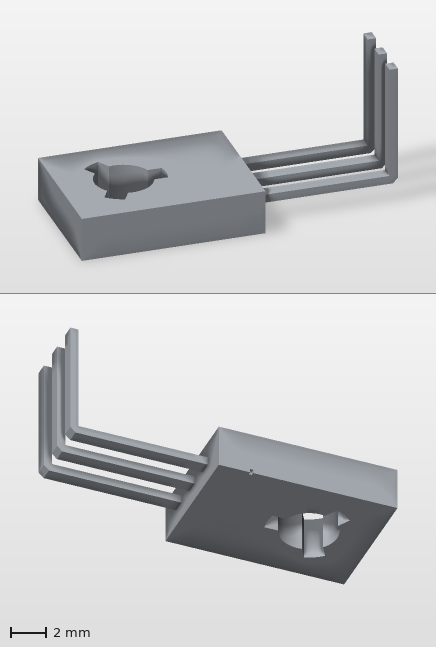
import cadquery as cq

overall_length = 19.5
overall_height = 8.4
body_width = 8.0
body_length = 11.02
body_height = 2.7

lead_count = 3
lead_pitch = 1.99
lead_width = 0.8
lead_thickness = 0.5
lead_bottom = 1.1
bend_chamfer = 0.31

hole_from_front = 3.82
hole_radius = 1.75
key_count = 3
key_tip_radius = 2.55
key_width = 1.2

notch_width = 0.2
notch_height = 0.23
notch_depth = 0.2
notch_from_rear = 2.03


def make_body():
    return cq.Workplane("XY").box(body_width, body_length, body_height, centered=(True, False, False))


def make_hole_cutter():
    """Round hole with equally spaced radial keyways ending on a common circle."""
    keyways = cq.Workplane("XY")
    for index in range(key_count):
        keyway = (
            cq.Workplane("XY")
            .box(key_width, key_tip_radius, body_height, centered=(True, False, False))
            .rotate((0, 0, 0), (0, 0, 1), index * 360 / key_count)
        )
        keyways = keyways.add(keyway)
    tip_cylinder = cq.Workplane("XY").circle(key_tip_radius).extrude(body_height)
    keyways = keyways.combine().intersect(tip_cylinder)
    bore = cq.Workplane("XY").circle(hole_radius).extrude(body_height)
    return bore.union(keyways).translate((0, hole_from_front, 0))


def make_notch_cutter():
    notch_center_y = body_length - notch_from_rear
    return (
        cq.Workplane("XY")
        .box(notch_depth, notch_width, notch_height, centered=(False, True, False))
        .translate((-body_width / 2, notch_center_y, 0))
    )


def make_lead(center_x):
    """Flat lead running back from the body and bent upward, with a bevelled outer corner."""
    lead_top = lead_bottom + lead_thickness
    inner_y = overall_length - lead_thickness
    profile = [
        (body_length, lead_bottom),
        (overall_length - bend_chamfer, lead_bottom),
        (overall_length, lead_bottom + bend_chamfer),
        (overall_length, overall_height),
        (inner_y, overall_height),
        (inner_y, lead_top),
        (body_length, lead_top),
    ]
    return (
        cq.Workplane("YZ")
        .polyline(profile)
        .close()
        .extrude(lead_width / 2, both=True)
        .translate((center_x, 0, 0))
    )


result = make_body().cut(make_hole_cutter()).cut(make_notch_cutter())
for index in range(lead_count):
    lead_x = (index - (lead_count - 1) / 2) * lead_pitch
    result = result.union(make_lead(lead_x))